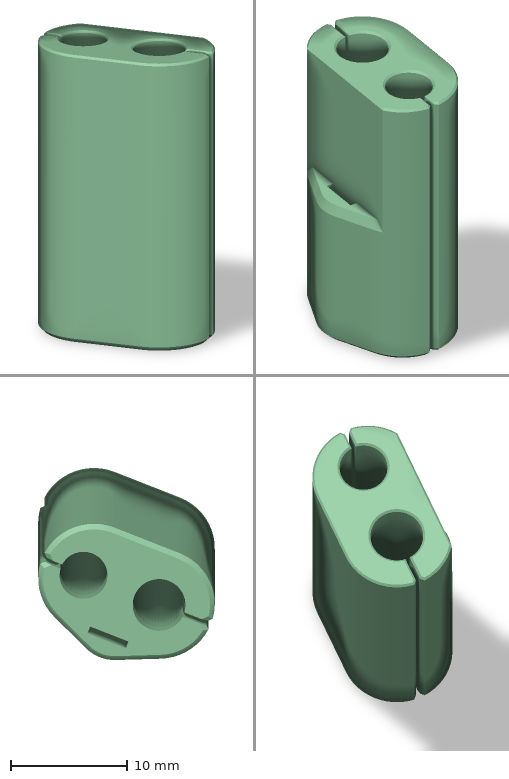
import cadquery as cq
import math

height = 26.0
end_radius = 4.78
end_spacing = 6.03
flat_back_y = 3.95
top_chamfer = 0.18
bottom_chamfer = 0.42

hump_height = 13.95
crown_y = 6.21
flank_angle = 23.5
hump_chamfer_depth = 0.85
hump_chamfer_inset = 0.42

pocket_width = 3.55
pocket_back_y = 4.58

left_bore_x = -3.98
left_bore_radius = 2.05
right_bore_x = 3.02
right_bore_radius = 2.25
slit_width = 0.4
slit_mouth_chamfer = 0.35

clearance = 1.05

end_x = end_spacing / 2
half_width = end_x + end_radius
flank_sin = math.sin(math.radians(flank_angle))
flank_cos = math.cos(math.radians(flank_angle))

flank_offset = end_x * flank_sin + end_radius
crown_center_y = (crown_y - flank_offset) / (1 - flank_cos)
crown_radius = crown_y - crown_center_y


def full_outline():
    """Closed outline: flat front, round ends, sloped flanks and crown."""
    shoulder_x = end_x + end_radius * flank_sin
    shoulder_y = end_radius * flank_cos
    crown_x = crown_radius * flank_sin
    crown_edge_y = crown_center_y + crown_radius * flank_cos
    return (
        cq.Workplane("XY")
        .moveTo(-end_x, -end_radius)
        .lineTo(end_x, -end_radius)
        .threePointArc((half_width, 0), (shoulder_x, shoulder_y))
        .lineTo(crown_x, crown_edge_y)
        .threePointArc((0, crown_y), (-crown_x, crown_edge_y))
        .lineTo(-shoulder_x, shoulder_y)
        .threePointArc((-half_width, 0), (-end_x, -end_radius))
        .close()
    )


def notch_outline(side, depth):
    """Right-angled V whose point lies at the given depth inside one side (-1 or 1)."""
    reach = depth + clearance
    outer_x = side * (half_width + clearance)
    points = [
        (outer_x, -reach),
        (outer_x, reach),
        (side * (half_width - depth), 0),
    ]
    return cq.Workplane("XY").polyline(points).close()


def mouth(side):
    """V notch that bevels a slit's mouth, flared at the bottom to carry the bottom chamfer."""
    depth = slit_width / 2 + slit_mouth_chamfer
    flare_depth = depth + bottom_chamfer * math.sqrt(2)
    flare = notch_outline(side, flare_depth).extrude(bottom_chamfer, taper=45)
    return notch_outline(side, depth).extrude(height), flare


def front_part():
    """Full-height block, cut off flat at the back."""
    keep = cq.Workplane("XY").box(
        2 * (half_width + clearance), end_radius + clearance + flat_back_y, height, centered=(True, False, False)
    ).translate((0, -end_radius - clearance, 0))
    block = full_outline().extrude(height).faces("<Z").chamfer(bottom_chamfer)
    return block.intersect(keep)


def hump():
    """Shorter ridge behind the flat back, with a steep chamfer around its top."""
    taper = math.degrees(math.atan2(hump_chamfer_inset, hump_chamfer_depth))
    straight_height = hump_height - hump_chamfer_depth
    ridge = full_outline().extrude(straight_height).faces("<Z").chamfer(bottom_chamfer)
    cap = full_outline().extrude(hump_chamfer_depth, taper=taper)
    ridge = ridge.union(cap.translate((0, 0, straight_height)))
    keep = cq.Workplane("XY").box(
        2 * (half_width + clearance), crown_y + clearance - flat_back_y, height, centered=(True, False, False)
    ).translate((0, flat_back_y, 0))
    return ridge.intersect(keep)


def bore(x, radius):
    return cq.Workplane("XY").center(x, 0).circle(radius).extrude(height)


def slit(bore_x, side):
    """Parallel-walled slit from a bore out to one side (-1 or 1)."""
    length = half_width - abs(bore_x)
    return (
        cq.Workplane("XY")
        .center(bore_x + side * length / 2, 0)
        .rect(length, slit_width)
        .extrude(height)
    )


def pocket():
    return cq.Workplane("XY").box(
        pocket_width, pocket_back_y - flat_back_y, hump_height, centered=(True, False, False)
    ).translate((0, flat_back_y, 0))


body = front_part().union(hump())
for bore_x, bore_radius, side in (
    (left_bore_x, left_bore_radius, -1),
    (right_bore_x, right_bore_radius, 1),
):
    body = body.cut(bore(bore_x, bore_radius)).cut(slit(bore_x, side))
    for notch in mouth(side):
        body = body.cut(notch)
body = body.faces(">Z").chamfer(top_chamfer)

result = body.cut(pocket())